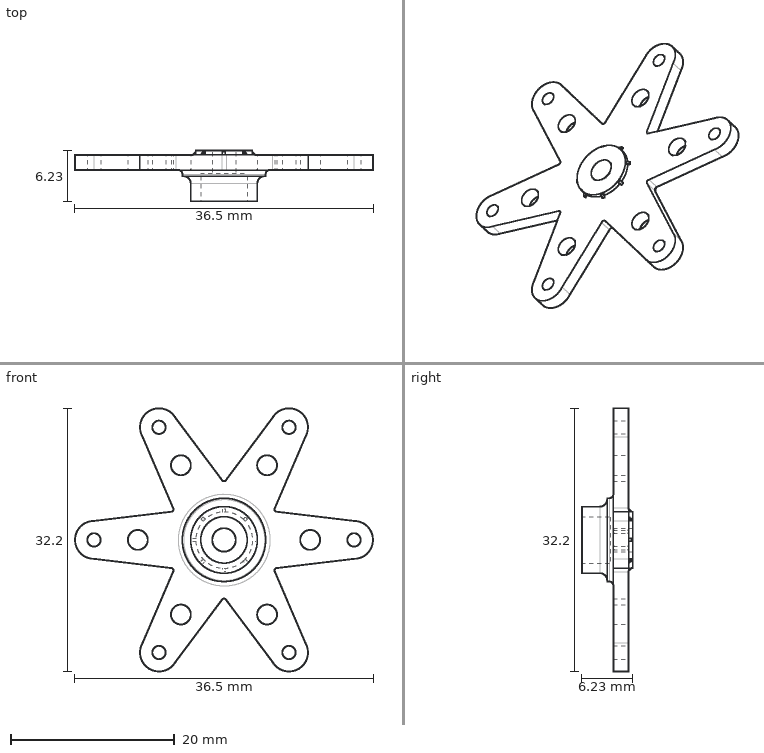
import cadquery as cq
import math


overall_span = 36.45
arm_count = 6
tip_radius = 2.35
tip_distance = overall_span / 2 - tip_radius
notch_radius = 0.3
notch_distance = 7.47
notch_end_turn = 110.0
plate_thickness = 1.85

tip_hole_diameter = 1.6
arm_hole_diameter = 2.4
arm_hole_distance = 10.55

hub_radius = 4.1
hub_height = 3.83
flange_radius = 5.1
flange_fillet = 0.5
flange_height = 0.75
hub_fillet = 0.87

recess_radius = 2.85
recess_depth = 3.43
bore_radius = 1.42

boss_radius = 3.45
boss_height = 0.55
gusset_count = 8
gusset_size = 0.35
gusset_width = 0.35


def polar(radius, degrees):
    """Point at a given radius and angle."""
    angle = math.radians(degrees)
    return radius * math.cos(angle), radius * math.sin(angle)


def arc_point(center_distance, center_angle, arc_radius, turn):
    """Point on an arc centred at a polar position, turned from the outward direction."""
    center_x, center_z = polar(center_distance, center_angle)
    offset_x, offset_z = polar(arc_radius, center_angle + turn)
    return center_x + offset_x, center_z + offset_z


def star_plate():
    """Star outline of tapered arms with half-round tips and rounded notches between them."""
    arm_pitch = 360 / arm_count

    def tip(arm_angle, turn):
        return arc_point(tip_distance, arm_angle, tip_radius, turn)

    def notch(arm_angle, turn):
        return arc_point(notch_distance, arm_angle + arm_pitch / 2, notch_radius, turn)

    outline = cq.Workplane("XZ").moveTo(*notch(-arm_pitch, notch_end_turn))
    for index in range(arm_count):
        arm_angle = index * arm_pitch
        outline = (
            outline.lineTo(*tip(arm_angle, -90))
            .threePointArc(tip(arm_angle, 0), tip(arm_angle, 90))
            .lineTo(*notch(arm_angle, -notch_end_turn))
            .threePointArc(notch(arm_angle, 180), notch(arm_angle, notch_end_turn))
        )
    return outline.close().extrude(-plate_thickness)


def arm_holes(distance, diameter):
    """One through hole per arm."""
    return (
        cq.Workplane("XZ")
        .polarArray(distance, 0, 360, arm_count)
        .circle(diameter / 2)
        .extrude(-plate_thickness)
    )


def hub():
    """Revolved flange and hub with concave fillets at both steps."""
    diagonal = 1 - math.sqrt(0.5)
    hub_fillet_end = flange_height + hub_fillet
    return (
        cq.Workplane("XY")
        .lineTo(flange_radius + flange_fillet, 0)
        .threePointArc(
            (flange_radius + flange_fillet * diagonal, -flange_fillet * diagonal),
            (flange_radius, -flange_fillet),
        )
        .lineTo(flange_radius, -flange_height)
        .lineTo(hub_radius + hub_fillet, -flange_height)
        .threePointArc(
            (hub_radius + hub_fillet * diagonal, -flange_height - hub_fillet * diagonal),
            (hub_radius, -hub_fillet_end),
        )
        .lineTo(hub_radius, -hub_height)
        .lineTo(0, -hub_height)
        .close()
        .revolve(360, (0, 0), (0, 1))
    )


def rear_boss():
    """Low round boss on the back of the plate, braced by triangular gussets."""
    boss = cq.Workplane("XZ", origin=(0, plate_thickness, 0)).circle(boss_radius).extrude(-boss_height)
    root_radius = boss_radius - gusset_size
    gusset = (
        cq.Workplane("XY")
        .moveTo(root_radius, plate_thickness)
        .lineTo(boss_radius + gusset_size, plate_thickness)
        .lineTo(boss_radius, plate_thickness + gusset_size)
        .lineTo(root_radius, plate_thickness + gusset_size)
        .close()
        .extrude(gusset_width / 2, both=True)
    )
    for index in range(gusset_count):
        boss = boss.union(gusset.rotate((0, 0, 0), (0, 1, 0), index * 360 / gusset_count))
    return boss


def bores():
    """Wide recess from the hub front, continued by a through bore."""
    front = cq.Workplane("XZ", origin=(0, -hub_height, 0))
    recess = front.circle(recess_radius).extrude(-recess_depth)
    through = front.circle(bore_radius).extrude(-(hub_height + plate_thickness + boss_height))
    return recess.union(through)


result = (
    star_plate()
    .cut(arm_holes(tip_distance, tip_hole_diameter))
    .cut(arm_holes(arm_hole_distance, arm_hole_diameter))
    .union(hub())
    .union(rear_boss())
    .cut(bores())
)